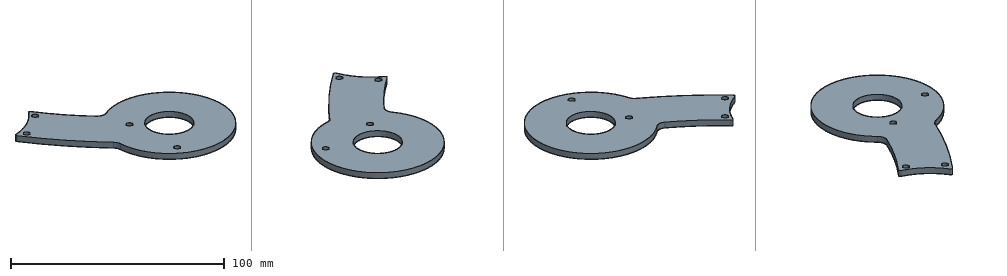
import cadquery as cq

thickness = 3.1
disc_radius = 31.2
bore_diameter = 23.0
screw_hole_diameter = 3.2

upper_tip = (-61.4, -26.9)
lower_tip = (-53.0, -51.0)
upper_root = (-23.0, -7.2)
lower_root = (-4.6, -27.0)
upper_edge_radius = 136.4
lower_edge_radius = 211.0
end_scoop_radius = 33.7

tip_fillet = 0.9
neck_fillet = 4.6

screw_hole_centers = [
    (-56.1, -29.0),
    (-49.4, -46.1),
    (-14.6, -11.7),
    (16.9, -18.6),
]


def make_disc():
    return cq.Workplane("XY").circle(disc_radius).extrude(thickness)


def make_arm():
    """Arm with bowed long edges and a concave end."""
    return (
        cq.Workplane("XY")
        .moveTo(*upper_root)
        .radiusArc(upper_tip, upper_edge_radius)
        .radiusArc(lower_tip, end_scoop_radius)
        .radiusArc(lower_root, -lower_edge_radius)
        .close()
        .extrude(thickness)
    )


def vertical_edges_near(body, points):
    """Select the vertical edge closest to each given XY point."""
    edges = body.edges("|Z")
    nearest = []
    for x, y in points:
        target = cq.Vector(x, y, thickness / 2)
        nearest.append(min(edges.vals(), key=lambda edge: (edge.Center() - target).Length))
    return body.newObject(nearest)


arm = make_arm()
arm = vertical_edges_near(arm, [upper_tip, lower_tip]).fillet(tip_fillet)
plate = make_disc().union(arm)
plate = vertical_edges_near(plate, [upper_root, lower_root]).fillet(neck_fillet)

bore = cq.Workplane("XY").circle(bore_diameter / 2).extrude(thickness)
screw_holes = (
    cq.Workplane("XY")
    .pushPoints(screw_hole_centers)
    .circle(screw_hole_diameter / 2)
    .extrude(thickness)
)
result = plate.cut(bore).cut(screw_holes)